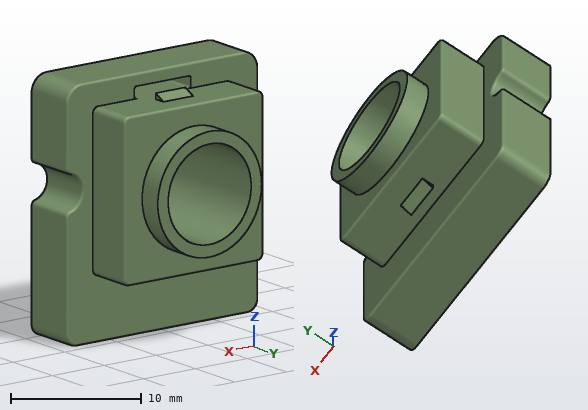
import cadquery as cq

plate_width = 18.5
plate_height = 20.8
plate_depth = 4.51
top_corner_radius = 1.5
bottom_corner_radius = 1.0
back_edge_radius = 0.2

notch_radius = 1.52
notch_center_z = 12.27
notch_lip_radius = 0.5

body_size = 13.45
body_depth = 4.0
body_center_z = 12.05
body_corner_radius = 0.55
boss_diameter = 10.0
boss_depth = 2.0
bore_diameter = 8.0

slot_width = 5.45
slot_height = 1.0
slot_corner_radius = 0.2

tab_width = 2.87
tab_rise = 0.48
tab_length = 1.0
tab_gap = 1.0

body_back = plate_depth + body_depth
total_depth = body_back + boss_depth
body_top = body_center_z + body_size / 2


def section_plane(start_y, center_z):
    """Plane facing +Y, with its local Y axis along +Z."""
    return cq.Plane(origin=(0, start_y, center_z), xDir=(-1, 0, 0), normal=(0, 1, 0))


def make_plate():
    plate = section_plane(0, plate_height / 2)
    plate = cq.Workplane(plate).rect(plate_width, plate_height).extrude(plate_depth)
    plate = plate.edges("|Y and >Z").fillet(top_corner_radius)
    plate = plate.edges("|Y and <Z").fillet(bottom_corner_radius)
    notches = (
        cq.Workplane(section_plane(0, notch_center_z))
        .pushPoints([(-plate_width / 2, 0), (plate_width / 2, 0)])
        .circle(notch_radius)
        .extrude(plate_depth)
    )
    plate = plate.cut(notches)
    for side in (-1, 1):
        for end in (-1, 1):
            lip = (side * plate_width / 2, plate_depth / 2, notch_center_z + end * notch_radius)
            plate = plate.edges(cq.selectors.NearestToPointSelector(lip)).fillet(notch_lip_radius)
    return plate.faces(">Y").edges().fillet(back_edge_radius)


def make_body():
    body = cq.Workplane(section_plane(plate_depth, body_center_z))
    body = body.rect(body_size, body_size).extrude(body_depth)
    body = body.edges("|Y").fillet(body_corner_radius)
    return body.faces(">Y").edges().fillet(back_edge_radius)


def make_boss():
    plane = section_plane(body_back, body_center_z)
    return cq.Workplane(plane).circle(boss_diameter / 2).extrude(boss_depth)


def make_bore():
    plane = section_plane(0, body_center_z)
    return cq.Workplane(plane).circle(bore_diameter / 2).extrude(total_depth)


def make_slot():
    plane = section_plane(0, body_top + slot_height / 2)
    slot = cq.Workplane(plane).rect(slot_width, slot_height).extrude(plate_depth)
    return slot.edges("|Y").fillet(slot_corner_radius)


def make_tab(direction):
    """Tab on the top (+1) or bottom (-1) of the body, tapering away from the plate."""
    tab_start = plate_depth + tab_gap
    surface_z = body_center_z + direction * body_size / 2
    return (
        cq.Workplane("YZ")
        .moveTo(tab_start, surface_z)
        .lineTo(tab_start, surface_z + direction * tab_rise)
        .lineTo(tab_start + tab_length, surface_z)
        .close()
        .extrude(tab_width / 2, both=True)
    )


result = make_plate().cut(make_slot())
result = result.union(make_body()).union(make_boss())
for tab_direction in (1, -1):
    result = result.union(make_tab(tab_direction))
result = result.cut(make_bore())